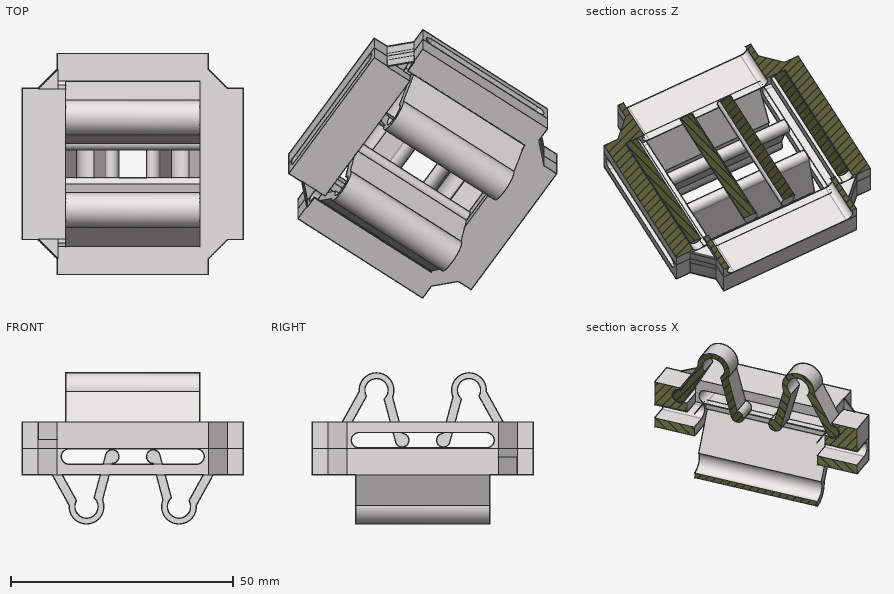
import cadquery as cq
import math

FRAME_SPAN = 49.8
FRAME_HEIGHT = 6.0
ARM_HALF_WIDTH = 17.05
CHAMFER_START = 21.35
WINDOW_HALF_LENGTH = 15.1
WINDOW_HALF_WIDTH = 16.9

BORE_DIAMETER = 3.4
BORE_Y = 18.85
BORE_Z = 3.7

UPPER_WINDOW_HALF_WIDTH = 18.65
LEDGE_Z = 2.4

SLOT_LENGTH = 32.1
SLOT_HEIGHT = 3.4
SLOT_Z = 1.85

FILM_THICKNESS = 0.2
POCKET_X = -16.85
POCKET_FLOOR_Z = BORE_Z - BORE_DIAMETER / 2

ARCH_Y = 10.4
ARCH_TOP_Z = 17.05
ARCH_RADIUS = 3.95
ARCH_HOLE_RADIUS = 2.6
ARCH_Z = ARCH_TOP_Z - ARCH_RADIUS
ROD_DIAMETER = 3.1
LEG_THICKNESS = 2.0
OUTER_LEG_ANGLE = 29.0
INNER_LEG_ANGLE = 15.0
OUTER_LEG_LENGTH = 10.55
INNER_LEG_LENGTH = 10.45
FREE_ROD_Y = 4.65
FREE_ROD_Z = SLOT_Z


def frame_outline():
    """Corner points of a cross with a chamfer in each of its four inner corners."""
    half_span = FRAME_SPAN / 2
    quarter = [
        (half_span, ARM_HALF_WIDTH),
        (CHAMFER_START, ARM_HALF_WIDTH),
        (ARM_HALF_WIDTH, CHAMFER_START),
        (ARM_HALF_WIDTH, half_span),
    ]
    points = []
    for x_sign, y_sign in [(1, 1), (-1, 1), (-1, -1), (1, -1)]:
        corner = [(x_sign * x, y_sign * y) for x, y in quarter]
        points += corner if x_sign == y_sign else corner[::-1]
    return points


def end_bar_slot():
    """Slot along Y that passes through both end bars."""
    return (
        cq.Workplane("YZ")
        .center(0, SLOT_Z)
        .slot2D(SLOT_LENGTH, SLOT_HEIGHT)
        .extrude(FRAME_SPAN / 2, both=True)
    )


def loading_pocket():
    """Three-cornered pocket behind the film of the -X +Y corner."""
    film_offset = ARM_HALF_WIDTH + CHAMFER_START - FILM_THICKNESS * math.sqrt(2)
    corners = [
        (POCKET_X, WINDOW_HALF_WIDTH),
        (WINDOW_HALF_WIDTH - film_offset, WINDOW_HALF_WIDTH),
        (POCKET_X, POCKET_X + film_offset),
    ]
    return (
        cq.Workplane("XY", origin=(0, 0, POCKET_FLOOR_Z))
        .polyline(corners)
        .close()
        .extrude(FRAME_HEIGHT - POCKET_FLOOR_Z)
    )


def clip_seat():
    """Everything cut out for the +Y clip: the wider window above the ledge, the bore and the pocket."""
    seat_length = WINDOW_HALF_LENGTH - POCKET_X
    widening = cq.Workplane("XY", origin=(POCKET_X, WINDOW_HALF_WIDTH, LEDGE_Z)).box(
        seat_length,
        UPPER_WINDOW_HALF_WIDTH - WINDOW_HALF_WIDTH,
        FRAME_HEIGHT - LEDGE_Z,
        centered=False,
    )
    bore = (
        cq.Workplane("YZ", origin=(POCKET_X, BORE_Y, BORE_Z))
        .circle(BORE_DIAMETER / 2)
        .extrude(seat_length)
    )
    return widening.union(bore).union(loading_pocket())


def make_frame():
    """Upper frame half, with its mating face at z = 0."""
    plate = cq.Workplane("XY").polyline(frame_outline()).close().extrude(FRAME_HEIGHT)
    window = cq.Workplane("XY").rect(2 * WINDOW_HALF_LENGTH, 2 * WINDOW_HALF_WIDTH).extrude(FRAME_HEIGHT)
    seat = clip_seat()
    return plate.cut(window).cut(end_bar_slot()).cut(seat).cut(seat.mirror("XZ"))


def clip_prism(profile):
    """Extrude a closed YZ profile over the whole length of a clip."""
    return profile.extrude(WINDOW_HALF_LENGTH, both=True)


def clip_cylinder(y, z, radius):
    return clip_prism(cq.Workplane("YZ").center(y, z).circle(radius))


def clip_polygon(points):
    return clip_prism(cq.Workplane("YZ").polyline(points).close())


def make_leg(rod_y, rod_z, angle, length, side):
    """Leg that rises from its rod, with its inside face tangent to the rod.

    side is 1 for a leg on the +Y side of the arch and -1 for one on the -Y side.
    Returns the leg with its rod, the middle of its foot and the inside corner of its head.
    """
    lean = math.radians(angle)
    up = cq.Vector(0, -side * math.sin(lean), math.cos(lean))
    outward = cq.Vector(0, side * math.cos(lean), math.sin(lean))
    foot_inside = cq.Vector(0, rod_y, rod_z) - outward * (ROD_DIAMETER / 2)
    foot_outside = foot_inside + outward * LEG_THICKNESS
    head_inside = foot_inside + up * length
    head_outside = foot_outside + up * length
    foot_middle = (foot_inside + foot_outside) * 0.5

    slab = clip_polygon([(p.y, p.z) for p in (foot_inside, foot_outside, head_outside, head_inside)])
    leg = slab.union(clip_cylinder(rod_y, rod_z, ROD_DIAMETER / 2))
    return leg, (foot_middle.y, foot_middle.z), (head_inside.y, head_inside.z)


def make_clip():
    """Clip on the +Y side of the upper frame half."""
    outer_leg, outer_foot, outer_head = make_leg(BORE_Y, BORE_Z, OUTER_LEG_ANGLE, OUTER_LEG_LENGTH, 1)
    inner_leg, inner_foot, inner_head = make_leg(
        FREE_ROD_Y, FREE_ROD_Z, INNER_LEG_ANGLE, INNER_LEG_LENGTH, -1
    )
    arch = clip_cylinder(ARCH_Y, ARCH_Z, ARCH_RADIUS)
    mouth = clip_polygon([outer_head, outer_foot, inner_foot, inner_head])
    hole = clip_cylinder(ARCH_Y, ARCH_Z, ARCH_HOLE_RADIUS)
    return arch.cut(mouth).union(outer_leg).union(inner_leg).cut(hole)


def turned_under(body):
    """Half turn about the horizontal diagonal y = -x, from the upper half to the lower half."""
    return body.rotate((0, 0, 0), (1, -1, 0), 180)


upper_frame = make_frame()
clip = make_clip()
upper_bodies = [upper_frame, clip, clip.mirror("XZ")]
lower_bodies = [turned_under(body) for body in upper_bodies]

result = cq.Compound.makeCompound([body.val() for body in upper_bodies + lower_bodies])